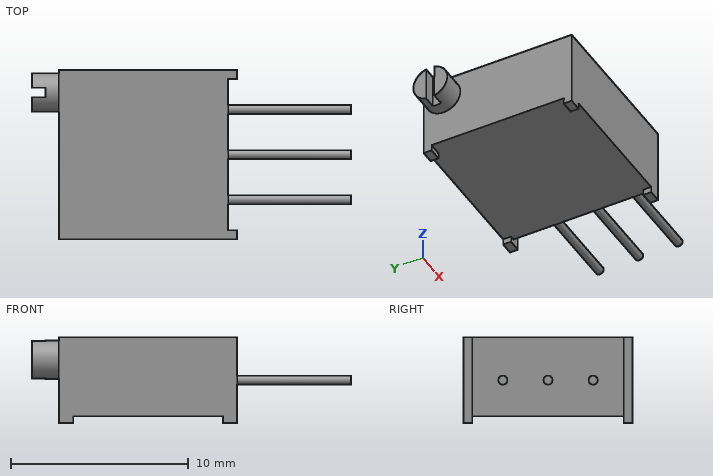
import cadquery as cq


total_length = 17.96
body_width = 9.53
body_height = 4.83

body_length = 10.03
standoff_size = 0.51
foot_length = 0.81
foot_height = 0.38

screw_diameter = 2.19
screw_length = 1.52
screw_edge_distance = 1.27
slot_width = 0.53
slot_depth = screw_length / 2

pin_count = 3
pin_pitch = 2.54
pin_diameter = 0.51

rear_face_x = body_length - standoff_size
pin_length = total_length - screw_length - rear_face_x
pin_z = body_height / 2
screw_y = body_width / 2 - screw_edge_distance
screw_z = body_height - screw_edge_distance
gap_width = body_width - 2 * standoff_size


def block(x_start, x_end, y_center, width, z_start, z_end):
    """Box between two X and two Z limits, centred on y_center."""
    return (
        cq.Workplane("XY")
        .box(x_end - x_start, width, z_end - z_start, centered=(False, True, False))
        .translate((x_start, y_center, z_start))
    )


def rod(x_start, length, y, z, diameter):
    """Round rod running along +X from x_start."""
    return (
        cq.Workplane("YZ", origin=(x_start, y, z))
        .circle(diameter / 2)
        .extrude(length)
    )


def make_housing():
    """Box with four corner feet below and two full-height standoffs at the rear."""
    housing = block(0, body_length, 0, body_width, 0, body_height)
    gap_between_side_feet = block(
        foot_length, body_length - foot_length, 0, body_width, 0, foot_height
    )
    gap_between_end_feet = block(0, body_length, 0, gap_width, 0, foot_height)
    rear_recess = block(rear_face_x, body_length, 0, gap_width, 0, body_height)
    return housing.cut(gap_between_side_feet).cut(gap_between_end_feet).cut(rear_recess)


def make_screw():
    """Cylindrical screw head with a vertical screwdriver slot in its end."""
    screw = rod(-screw_length, screw_length, screw_y, screw_z, screw_diameter)
    slot = block(
        -screw_length,
        slot_depth - screw_length,
        screw_y,
        slot_width,
        screw_z - screw_diameter / 2,
        screw_z + screw_diameter / 2,
    )
    return screw.cut(slot)


result = make_housing().union(make_screw())
for index in range(pin_count):
    pin_y = (index - (pin_count - 1) / 2) * pin_pitch
    result = result.union(rod(rear_face_x, pin_length, pin_y, pin_z, pin_diameter))